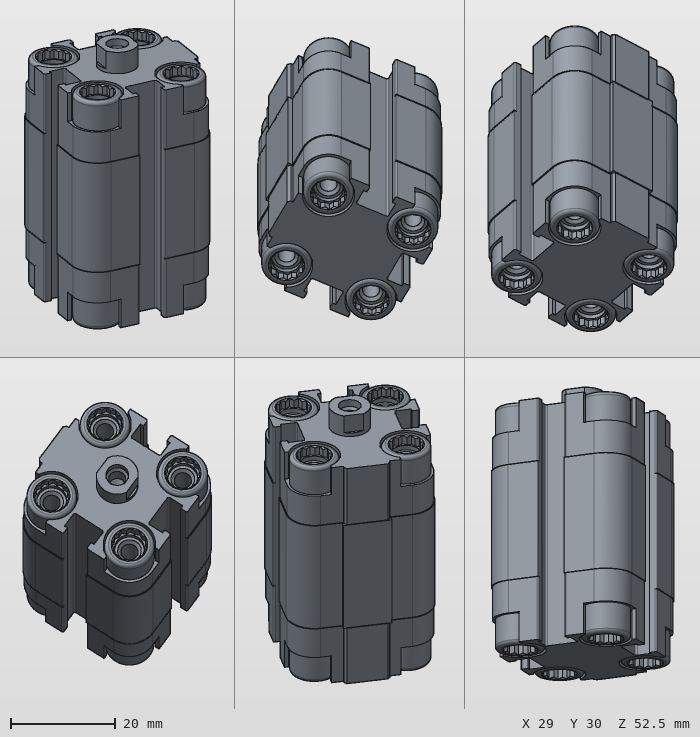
import cadquery as cq
import math

body_height = 48.0
rod_projection = 4.5
cap_height = 12.5
barrel_height = body_height - 2 * cap_height
barrel_width = 29.0
cap_inset = 0.2
corner_center = 9.0

slot_opening = 5.42
slot_width = 6.8
slot_floor_offset = 9.5
slot_lip_offset = 12.8
slot_floor_fillet = 0.4
cap_lip_fillet = 0.35
barrel_lip_fillet = 0.1

rail_rise = 1.0
rail_width = 9.5
cap_rail_width = 9.0
cap_rail_chamfer = 0.5

screw_diameter = 9.5
screw_edge_fillet = 0.75
pocket_diameter = 10.0
pocket_depth = 6.0
pocket_side_offset = 6.78
socket_across_flats = 6.0
socket_depth = 2.0
socket_chamfer = 0.35
seat_diameter = 5.7
seat_depth = 3.0
funnel_diameter = 4.5
through_diameter = 3.24
screw_axes = (-corner_center, corner_center)
screw_positions = [(x, y) for x in screw_axes for y in screw_axes]

rod_diameter = 8.0
rod_bottom = body_height - cap_height
rod_top = body_height + rod_projection
rod_flat_width = 7.0
rod_flat_length = 3.7
thread_relief_diameter = 4.3
thread_relief_depth = 1.5
thread_core_diameter = 3.24
thread_core_depth = 4.0
drill_point_angle = 118.0


def cone(top_diameter, bottom_diameter, height, top_z):
    """Vertical cone frustum that narrows downwards from top_z; bottom may be a point."""
    return cq.Workplane(
        "XY",
        obj=cq.Solid.makeCone(
            top_diameter / 2,
            bottom_diameter / 2,
            height,
            pnt=cq.Vector(0, 0, top_z),
            dir=cq.Vector(0, 0, -1),
        ),
    )


def slot_cutter(half_width, height, lip_fillet):
    """T-slot on the -Y side of a profile, with rounded lip edges and floor corners."""
    mouth_depth = half_width - slot_floor_offset
    mouth = (
        cq.Workplane("XY")
        .box(slot_opening, mouth_depth, height, centered=(True, False, False))
        .translate((0, -half_width, 0))
    )
    chamber = (
        cq.Workplane("XY")
        .box(slot_width, slot_lip_offset - slot_floor_offset, height, centered=(True, False, False))
        .translate((0, -slot_lip_offset, 0))
        .edges("|Z and >Y")
        .fillet(slot_floor_fillet)
    )
    flare = (
        cq.Workplane("XY")
        .box(slot_opening + 2 * lip_fillet, lip_fillet, height, centered=(True, False, False))
        .translate((0, -half_width, 0))
    )
    for side in (-1, 1):
        lip_round = (
            cq.Workplane("XY")
            .center(side * (slot_opening / 2 + lip_fillet), -half_width + lip_fillet)
            .circle(lip_fillet)
            .extrude(height)
        )
        flare = flare.cut(lip_round)
    return mouth.union(chamber).union(flare)


def profile_section(inset, rail_points, lip_fillet, height, base_z):
    """One length of the square profile with its rail and three T-slots."""
    half_width = barrel_width / 2 - inset
    section = (
        cq.Workplane("XY")
        .rect(2 * half_width, 2 * half_width)
        .extrude(height)
        .edges("|Z")
        .fillet(half_width - corner_center)
    )
    mirrored = [(-x, y) for x, y in reversed(rail_points)]
    section = section.union(cq.Workplane("XY").polyline(rail_points + mirrored).close().extrude(height))
    for angle in (-90, 0, 90):
        cutter = slot_cutter(half_width, height, lip_fillet)
        section = section.cut(cutter.rotate((0, 0, 0), (0, 0, 1), angle))
    return section.translate((0, 0, base_z))


def make_barrel():
    """Middle length of the housing, pierced by the four through bores."""
    top = barrel_width / 2 + rail_rise
    rail = [(rail_width / 2, corner_center), (rail_width / 2, top)]
    barrel = profile_section(0, rail, barrel_lip_fillet, barrel_height, cap_height)
    bores = cq.Workplane("XY", origin=(0, 0, cap_height)).pushPoints(screw_positions)
    return barrel.cut(bores.circle(through_diameter / 2).extrude(barrel_height))


def cap_blank():
    """Top cap profile, slightly smaller than the barrel, with a chamfered rail."""
    top = barrel_width / 2 + rail_rise - cap_inset
    rail = [
        (cap_rail_width / 2, corner_center),
        (cap_rail_width / 2, top - cap_rail_chamfer),
        (cap_rail_width / 2 - cap_rail_chamfer, top),
    ]
    return profile_section(cap_inset, rail, cap_lip_fillet, cap_height, body_height - cap_height)


def corner_pocket():
    """Clearance round a screw at the top of the +X +Y corner, open to the outside."""
    base_z = body_height - pocket_depth
    reach = barrel_width / 2 - pocket_side_offset
    ring = (
        cq.Workplane("XY", origin=(corner_center, corner_center, base_z))
        .circle(pocket_diameter / 2)
        .extrude(pocket_depth)
    )
    opening = (
        cq.Workplane("XY", origin=(pocket_side_offset, pocket_side_offset, base_z))
        .box(reach, reach, pocket_depth, centered=False)
    )
    return ring.union(opening)


def screw_socket():
    """Twelve-point drive, flat seat, funnel and bore, opening upwards at the top of the body."""
    seat_z = body_height - seat_depth
    tip_diameter = socket_across_flats / math.cos(math.radians(30))
    socket = cone(tip_diameter, tip_diameter - 2 * socket_chamfer, socket_chamfer, body_height)
    for angle in (0, 30):
        hexagon = (
            cq.Workplane("XY", origin=(0, 0, body_height - socket_depth))
            .polygon(6, tip_diameter)
            .extrude(socket_depth)
            .rotate((0, 0, 0), (0, 0, 1), angle)
        )
        socket = socket.union(hexagon)
    seat = cq.Workplane("XY", origin=(0, 0, seat_z)).circle(seat_diameter / 2).extrude(seat_depth)
    funnel = cone(funnel_diameter, through_diameter, (funnel_diameter - through_diameter) / 2, seat_z)
    bore = (
        cq.Workplane("XY", origin=(0, 0, body_height - cap_height))
        .circle(through_diameter / 2)
        .extrude(cap_height)
    )
    return socket.union(seat).union(funnel).union(bore)


def corner_screw():
    """Screw head standing in a corner pocket, socket still to be cut."""
    return (
        cq.Workplane("XY", origin=(0, 0, body_height - pocket_depth))
        .circle(screw_diameter / 2)
        .extrude(pocket_depth)
        .faces(">Z")
        .edges()
        .fillet(screw_edge_fillet)
    )


def make_plain_cap():
    """Top cap with four screw heads in its corners, solid in the middle."""
    pocket = corner_pocket()
    screw = corner_screw().translate((corner_center, corner_center, 0))
    socket = screw_socket()
    plain_cap = cap_blank()
    for quarter in range(4):
        angle = 90 * quarter
        plain_cap = plain_cap.cut(pocket.rotate((0, 0, 0), (0, 0, 1), angle))
        plain_cap = plain_cap.union(screw.rotate((0, 0, 0), (0, 0, 1), angle))
    for x, y in screw_positions:
        plain_cap = plain_cap.cut(socket.translate((x, y, 0)))
    return plain_cap


def make_housing():
    """Barrel with a cap on each end; only the top cap lets the piston rod through."""
    top_cap = make_plain_cap()
    bottom_cap = top_cap.mirror("XY", (0, 0, body_height / 2))
    rod_hole = cq.Workplane("XY", origin=(0, 0, rod_bottom)).circle(rod_diameter / 2).extrude(cap_height)
    return make_barrel().union(bottom_cap).union(top_cap.cut(rod_hole))


def make_piston_rod():
    """Round rod with two wrench flats and a drilled, relieved thread hole in its end."""
    rod = cq.Workplane("XY", origin=(0, 0, rod_bottom)).circle(rod_diameter / 2).extrude(rod_top - rod_bottom)
    flat_base = rod_top - rod_flat_length
    blank = cq.Workplane("XY", origin=(0, 0, flat_base)).circle(rod_diameter).extrude(rod_flat_length)
    kept = (
        cq.Workplane("XY", origin=(0, 0, flat_base))
        .box(2 * rod_diameter, rod_flat_width, rod_flat_length, centered=(True, True, False))
    )
    rod = rod.cut(blank.cut(kept))
    relief_floor = rod_top - thread_relief_depth
    relief = cq.Workplane("XY", origin=(0, 0, relief_floor)).circle(thread_relief_diameter / 2)
    rod = rod.cut(relief.extrude(thread_relief_depth))
    step_height = (thread_relief_diameter - thread_core_diameter) / 2
    rod = rod.cut(cone(thread_relief_diameter, thread_core_diameter, step_height, relief_floor))
    core_floor = relief_floor - thread_core_depth
    core = cq.Workplane("XY", origin=(0, 0, core_floor)).circle(thread_core_diameter / 2)
    rod = rod.cut(core.extrude(thread_core_depth))
    point_height = thread_core_diameter / 2 / math.tan(math.radians(drill_point_angle / 2))
    return rod.cut(cone(thread_core_diameter, 0, point_height, core_floor))


housing = make_housing()
piston_rod = make_piston_rod()

result = cq.Compound.makeCompound([housing.val(), piston_rod.val()])